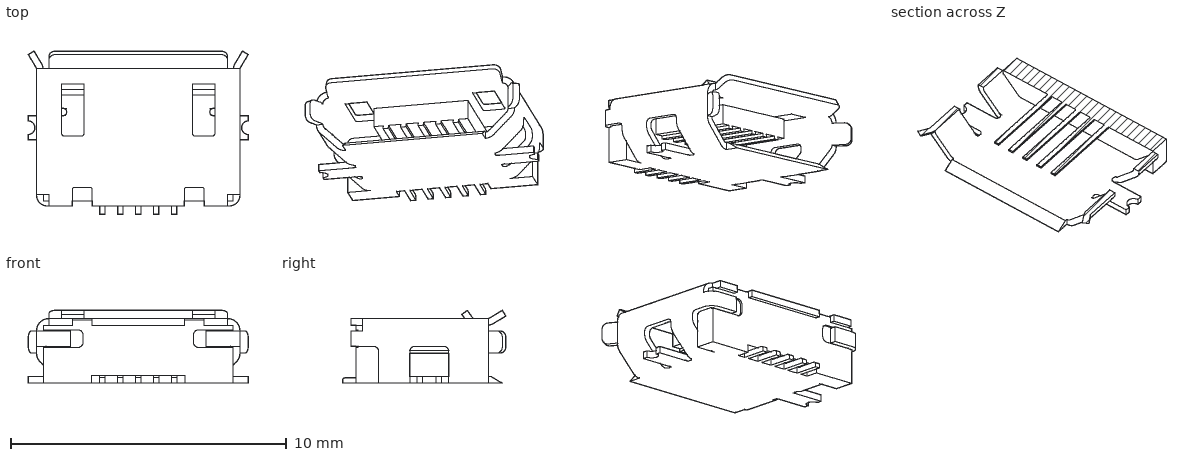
import cadquery as cq
import math


SHEET = 0.25
SHELL_HALF_WIDTH = 3.695
SHELL_TOP = 2.35
PLATE_UNDERSIDE = SHELL_TOP - SHEET
SHELL_REAR = -5.0
BEND_RADIUS = 0.45
FLOOR_CORNER_X = 2.79
WALL_SLOPE = math.radians(45)
TOP_HALF_WIDTH = SHELL_HALF_WIDTH - BEND_RADIUS
WALL_BOTTOM = (SHELL_HALF_WIDTH - FLOOR_CORNER_X) * math.tan(WALL_SLOPE)
BEND_TANGENT = BEND_RADIUS * math.tan(WALL_SLOPE / 2)
FLOOR_HALF_WIDTH = FLOOR_CORNER_X - BEND_TANGENT
FLAT_WALL_BOTTOM = WALL_BOTTOM + BEND_TANGENT
FLAT_WALL_TOP = SHELL_TOP - BEND_RADIUS
LOWER_SHELL_REAR = -4.0
TOP_BEND_REAR = -4.58
CUTOUT_RADIUS = 0.17

FLARE_RISE = 0.3
FLARE_ANGLE = math.radians(31)
FLARE_CORNER_RADIUS = 0.24
FLOOR_LIP_LENGTH = 0.5

WINDOW_INNER_X = 1.97
WINDOW_OUTER_X = 2.78
WINDOW_FRONT = -0.56
WINDOW_REAR = -2.46
WINDOW_RADIUS = 0.1
TAB_ANGLE = math.radians(54)
TAB_RISE = 0.295

NOTCH_INNER_X = 1.67
NOTCH_OUTER_X = 2.395
NOTCH_FRONT = -4.32
NOTCH_RADIUS = 0.08

EAR_TIP_X = 4.0
EAR_CENTER_Y = -2.155
EAR_WIDTH = 0.88
EAR_HOLE_RADIUS = 0.245
SIDE_OPENING_WIDTH = 1.4
SLOT_RADIUS = 0.12

STRAP_BOTTOM = 1.335
STRAP_RADIUS = 0.4
STRAP_END_X = 2.45

HOUSING_HALF_WIDTH = 3.445
HOUSING_REAR = -4.82
BUMP_TOP = 2.3
RECESS_END_X = 2.0
RECESS_CLEARANCE = 0.04
RECESS_DEPTH = 0.08
RECESS_RADIUS = 0.2
PIN_POCKET_HALF_WIDTH = 1.7
PIN_POCKET_HEIGHT = 0.28
PIN_POCKET_DEPTH = 0.5
TONGUE_HALF_WIDTH = 1.75
TONGUE_BOTTOM = 1.19
TONGUE_TOP = 1.9
TONGUE_FRONT = -0.86

PIN_COUNT = 5
PIN_PITCH = 0.65
PIN_WIDTH = 0.2
PIN_HEIGHT = 0.2
PIN_REAR = -5.302
PIN_TIP_RADIUS = 0.1
CONTACT_BOTTOM = 1.08


def block(x_range, y_range, z_range):
    """Axis-aligned box between the given limits."""
    size = [abs(limits[1] - limits[0]) for limits in (x_range, y_range, z_range)]
    corner = [min(limits) for limits in (x_range, y_range, z_range)]
    return cq.Workplane("XY").box(*size, centered=False).translate(tuple(corner))


def both_sides(body):
    """The body together with its mirror image across the YZ plane."""
    return body.union(body.mirror("YZ"))


def shell_tube():
    """Bent sheet tube with a 45 degree slope on both lower corners."""
    outline = [
        (-FLOOR_CORNER_X, 0),
        (FLOOR_CORNER_X, 0),
        (SHELL_HALF_WIDTH, WALL_BOTTOM),
        (SHELL_HALF_WIDTH, SHELL_TOP),
        (-SHELL_HALF_WIDTH, SHELL_TOP),
        (-SHELL_HALF_WIDTH, WALL_BOTTOM),
    ]
    length = -SHELL_REAR
    outer = cq.Workplane("XZ").polyline(outline).close().extrude(length)
    outer = outer.edges("|Y").fillet(BEND_RADIUS)
    inner = cq.Workplane("XZ").polyline(outline).close().offset2D(-SHEET).extrude(length)
    inner = inner.edges("|Y").fillet(BEND_RADIUS - SHEET)
    return outer.cut(inner)


def rear_cutaway():
    """Everything the tube loses at the rear: floor, lower walls, then the upper bends."""
    width = (-SHELL_HALF_WIDTH, SHELL_HALF_WIDTH)
    lower = block(width, (SHELL_REAR, LOWER_SHELL_REAR), (0, STRAP_BOTTOM))
    lower = lower.edges("|X and >Y and >Z").fillet(CUTOUT_RADIUS)
    walls = block(width, (SHELL_REAR, TOP_BEND_REAR), (STRAP_BOTTOM, PLATE_UNDERSIDE))
    bends = both_sides(
        block((TOP_HALF_WIDTH, SHELL_HALF_WIDTH), (SHELL_REAR, TOP_BEND_REAR), (STRAP_BOTTOM, SHELL_TOP))
    )
    return lower.union(walls).union(bends)


def window_cut():
    """Latch windows through the top plate, rounded at their rear corners."""
    window = block(
        (WINDOW_INNER_X, WINDOW_OUTER_X),
        (WINDOW_REAR, WINDOW_FRONT),
        (PLATE_UNDERSIDE, SHELL_TOP),
    )
    return both_sides(window.edges("|Z and <Y").fillet(WINDOW_RADIUS))


def window_tabs():
    """Tabs rising from the front edge of each window and leaning back over it."""
    tip_z = SHELL_TOP + TAB_RISE
    run = (tip_z - PLATE_UNDERSIDE) / math.tan(TAB_ANGLE)
    step_back = SHEET * math.sin(TAB_ANGLE)
    step_down = SHEET * math.cos(TAB_ANGLE)
    root_y = WINDOW_FRONT + SHEET / math.tan(TAB_ANGLE)
    profile = [
        (root_y, PLATE_UNDERSIDE),
        (root_y - run, tip_z),
        (root_y - run - step_back, tip_z - step_down),
        (root_y - SHEET / math.sin(TAB_ANGLE), PLATE_UNDERSIDE),
    ]
    tab = cq.Workplane("YZ").polyline(profile).close().extrude(WINDOW_OUTER_X - WINDOW_INNER_X)
    return both_sides(tab.translate((WINDOW_INNER_X, 0, 0)))


def rear_notch(z_range, rear):
    """Pair of round-cornered blocks filling the rear notches of the top plate."""
    notch = block((NOTCH_INNER_X, NOTCH_OUTER_X), (rear, NOTCH_FRONT), z_range)
    return both_sides(notch.edges("|Z and >Y").fillet(NOTCH_RADIUS))


def flare_points(surface):
    """(forward, outward) outline of a lip bent away from a wall whose outer face is at `surface`."""
    forward = FLARE_RISE / math.tan(FLARE_ANGLE)
    step_forward = SHEET * math.sin(FLARE_ANGLE)
    step_inward = SHEET * math.cos(FLARE_ANGLE)
    return [
        (0, surface - SHEET),
        (0, surface),
        (forward, surface + FLARE_RISE),
        (forward + step_forward, surface + FLARE_RISE - step_inward),
        (step_forward, surface - step_inward),
    ]


def top_flare():
    """Lip rising from the front edge of the top plate."""
    lip = cq.Workplane("YZ").polyline(flare_points(SHELL_TOP)).close().extrude(TOP_HALF_WIDTH, both=True)
    thickness_axis = cq.Vector(0, math.sin(FLARE_ANGLE), -math.cos(FLARE_ANGLE))
    return lip.edges(cq.selectors.ParallelDirSelector(thickness_axis)).fillet(FLARE_CORNER_RADIUS)


def side_flares():
    """Lips spreading outwards from the flat part of both side walls."""
    points = [(outward, forward) for forward, outward in flare_points(SHELL_HALF_WIDTH)]
    lip = cq.Workplane("XY").polyline(points).close().extrude(FLAT_WALL_TOP - FLAT_WALL_BOTTOM)
    thickness_axis = cq.Vector(-math.cos(FLARE_ANGLE), math.sin(FLARE_ANGLE), 0)
    lip = lip.edges(cq.selectors.ParallelDirSelector(thickness_axis)).fillet(FLARE_CORNER_RADIUS)
    return both_sides(lip.translate((0, 0, FLAT_WALL_BOTTOM)))


def floor_lip():
    """Wedge in front of the floor, tapering down to the underside."""
    taper = SHEET / math.tan(FLARE_ANGLE)
    profile = [(0, 0), (FLOOR_LIP_LENGTH, 0), (FLOOR_LIP_LENGTH - taper, SHEET), (0, SHEET)]
    return cq.Workplane("YZ").polyline(profile).close().extrude(FLOOR_HALF_WIDTH, both=True)


def side_opening():
    """Opening in both side walls, reaching into the floor as a round-cornered slot beside each ear."""
    front = EAR_CENTER_Y + SIDE_OPENING_WIDTH / 2
    rear = EAR_CENTER_Y - SIDE_OPENING_WIDTH / 2
    width = (FLOOR_HALF_WIDTH, SHELL_HALF_WIDTH)
    opening = block(width, (rear, front), (SHEET, STRAP_BOTTOM))
    opening = opening.edges("|X and >Z").fillet(CUTOUT_RADIUS)
    ear_front = EAR_CENTER_Y + EAR_WIDTH / 2
    ear_rear = EAR_CENTER_Y - EAR_WIDTH / 2
    for slot_limits in ((ear_front, front), (rear, ear_rear)):
        slot = block(width, slot_limits, (0, SHEET))
        opening = opening.union(slot.edges("|Z and <X").fillet(SLOT_RADIUS))
    return both_sides(opening)


def solder_ears():
    """Floor extensions on both sides, each with a half-round bite in its tip."""
    ear = block(
        (FLOOR_HALF_WIDTH - SHEET, EAR_TIP_X),
        (EAR_CENTER_Y - EAR_WIDTH / 2, EAR_CENTER_Y + EAR_WIDTH / 2),
        (0, SHEET),
    )
    bite = cq.Workplane("XY").center(EAR_TIP_X, EAR_CENTER_Y).circle(EAR_HOLE_RADIUS).extrude(SHEET)
    return both_sides(ear.cut(bite))


def rear_straps():
    """Side wall bands that wrap around the rear corners of the housing."""
    inner_radius = STRAP_RADIUS - SHEET
    outer_x = SHELL_HALF_WIDTH
    strap = (
        cq.Workplane("XY")
        .moveTo(outer_x - SHEET, TOP_BEND_REAR)
        .lineTo(outer_x, TOP_BEND_REAR)
        .lineTo(outer_x, SHELL_REAR + STRAP_RADIUS)
        .radiusArc((outer_x - STRAP_RADIUS, SHELL_REAR), STRAP_RADIUS)
        .lineTo(STRAP_END_X, SHELL_REAR)
        .lineTo(STRAP_END_X, SHELL_REAR + SHEET)
        .lineTo(outer_x - STRAP_RADIUS, SHELL_REAR + SHEET)
        .radiusArc((outer_x - SHEET, SHELL_REAR + STRAP_RADIUS), -inner_radius)
        .close()
        .extrude(FLAT_WALL_TOP - STRAP_BOTTOM)
    )
    return both_sides(strap.translate((0, 0, STRAP_BOTTOM)))


def shell():
    """Complete formed sheet shell."""
    body = shell_tube().cut(rear_cutaway()).cut(side_opening()).cut(window_cut())
    body = body.cut(rear_notch((PLATE_UNDERSIDE, SHELL_TOP), SHELL_REAR))
    for feature in (window_tabs(), top_flare(), side_flares(), floor_lip(), solder_ears(), rear_straps()):
        body = body.union(feature)
    return body


def housing():
    """Rear insulator block with its bumps, strap recesses, pin pocket and contact tongue."""
    width = (-HOUSING_HALF_WIDTH, HOUSING_HALF_WIDTH)
    body = block(width, (HOUSING_REAR, LOWER_SHELL_REAR), (0, PLATE_UNDERSIDE))
    body = body.union(rear_notch((PLATE_UNDERSIDE, BUMP_TOP), HOUSING_REAR))
    recess = block(
        (RECESS_END_X, HOUSING_HALF_WIDTH),
        (HOUSING_REAR, HOUSING_REAR + RECESS_DEPTH),
        (STRAP_BOTTOM - RECESS_CLEARANCE, FLAT_WALL_TOP + RECESS_CLEARANCE),
    )
    body = body.cut(both_sides(recess.edges("|Y and <X").fillet(RECESS_RADIUS)))
    pocket = block(
        (-PIN_POCKET_HALF_WIDTH, PIN_POCKET_HALF_WIDTH),
        (HOUSING_REAR, HOUSING_REAR + PIN_POCKET_DEPTH),
        (0, PIN_POCKET_HEIGHT),
    )
    tongue = block(
        (-TONGUE_HALF_WIDTH, TONGUE_HALF_WIDTH),
        (LOWER_SHELL_REAR, TONGUE_FRONT),
        (TONGUE_BOTTOM, TONGUE_TOP),
    )
    return body.cut(pocket).union(tongue)


def pin():
    """Solder foot rising to the pocket ceiling, centred on X = 0."""
    pocket_back = HOUSING_REAR + PIN_POCKET_DEPTH
    rise = PIN_POCKET_HEIGHT - PIN_HEIGHT
    return (
        cq.Workplane("YZ")
        .moveTo(pocket_back, 0)
        .lineTo(PIN_REAR, 0)
        .lineTo(PIN_REAR, PIN_HEIGHT - PIN_TIP_RADIUS)
        .radiusArc((PIN_REAR + PIN_TIP_RADIUS, PIN_HEIGHT), PIN_TIP_RADIUS)
        .lineTo(pocket_back - rise, PIN_HEIGHT)
        .lineTo(pocket_back, PIN_POCKET_HEIGHT)
        .close()
        .extrude(PIN_WIDTH / 2, both=True)
    )


def contact():
    """Solder foot with its matching contact strip under the tongue, centred on X = 0."""
    half_width = PIN_WIDTH / 2
    strip = block(
        (-half_width, half_width),
        (LOWER_SHELL_REAR, TONGUE_FRONT),
        (CONTACT_BOTTOM, TONGUE_BOTTOM),
    )
    return pin().union(strip)


result = shell().union(housing())
for index in range(PIN_COUNT):
    offset = (index - (PIN_COUNT - 1) / 2) * PIN_PITCH
    result = result.union(contact().translate((offset, 0, 0)))